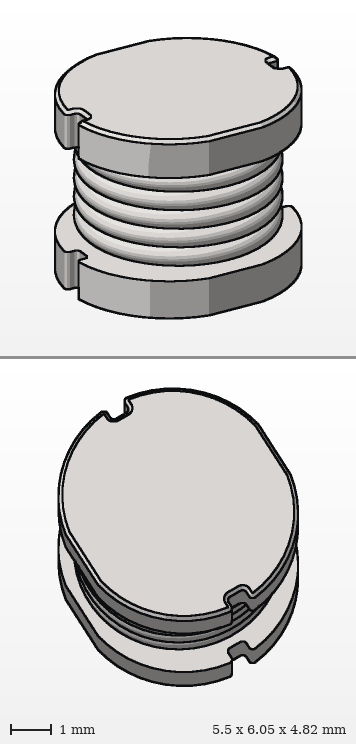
import cadquery as cq
import math

total_height = 4.82
flange_thickness = 1.01
flange_width = 5.5
flange_arc_radius = 2.795
flange_arc_offset = 0.255
post_diameter = 4.0
top_chamfer = 0.095
chamfer_angle = 45

notch_width = 0.5
notch_floor_y = 2.69
notch_fillet = 0.1

ring_count = 5
wire_diameter = 0.5
winding_outer_diameter = 5.1

half_width = flange_width / 2
flat_half_length = flange_arc_offset + math.sqrt(flange_arc_radius**2 - half_width**2)
arc_peak_y = flange_arc_offset + flange_arc_radius
post_length = total_height - 2 * flange_thickness
ring_radius = (winding_outer_diameter - wire_diameter) / 2
lowest_ring_z = (total_height - (ring_count - 1) * wire_diameter) / 2


def make_flange_blank(thickness):
    """Plate with two flat sides (X) and two arc sides (Y), its base at z = 0."""
    return (
        cq.Workplane("XY")
        .moveTo(half_width, -flat_half_length)
        .lineTo(half_width, flat_half_length)
        .threePointArc((0, arc_peak_y), (-half_width, flat_half_length))
        .lineTo(-half_width, -flat_half_length)
        .threePointArc((0, -arc_peak_y), (half_width, -flat_half_length))
        .close()
        .extrude(thickness)
    )


def make_flange(thickness):
    """Flange plate with a notch, rounded at all four corners, in each arc side."""
    notch_depth = arc_peak_y - notch_floor_y
    notch_centre_y = notch_floor_y + notch_depth / 2
    notches = (
        cq.Workplane("XY")
        .pushPoints([(0, notch_centre_y), (0, -notch_centre_y)])
        .rect(notch_width, notch_depth)
        .extrude(thickness)
    )
    notch_corners = cq.selectors.BoxSelector(
        (-notch_width, -arc_peak_y, 0), (notch_width, arc_peak_y, thickness)
    )
    return make_flange_blank(thickness).cut(notches).edges("|Z").edges(notch_corners).fillet(notch_fillet)


def make_chamfered_flange():
    """Flange whose top layer narrows at 45 degrees all round, notches included."""
    return (
        make_flange(flange_thickness - top_chamfer)
        .faces(">Z")
        .wires()
        .toPending()
        .extrude(top_chamfer, taper=chamfer_angle)
    )


def make_core():
    """Bottom flange, post and top flange as one solid; only the top rim is chamfered."""
    bottom_flange = make_flange(flange_thickness)
    top_flange = make_chamfered_flange().translate((0, 0, total_height - flange_thickness))
    post = (
        cq.Workplane("XY")
        .workplane(offset=flange_thickness)
        .circle(post_diameter / 2)
        .extrude(post_length)
    )
    return bottom_flange.union(post).union(top_flange)


def make_ring(centre_z):
    """One closed turn of round wire around the post."""
    return (
        cq.Workplane("XZ")
        .center(ring_radius, centre_z)
        .circle(wire_diameter / 2)
        .revolve(360, (-ring_radius, 0), (-ring_radius, 1))
    )


core = make_core()

rings = []
for index in range(ring_count):
    ring = make_ring(lowest_ring_z + index * wire_diameter)
    rings.append(ring.val())

result = cq.Compound.makeCompound([core.val(), *rings])